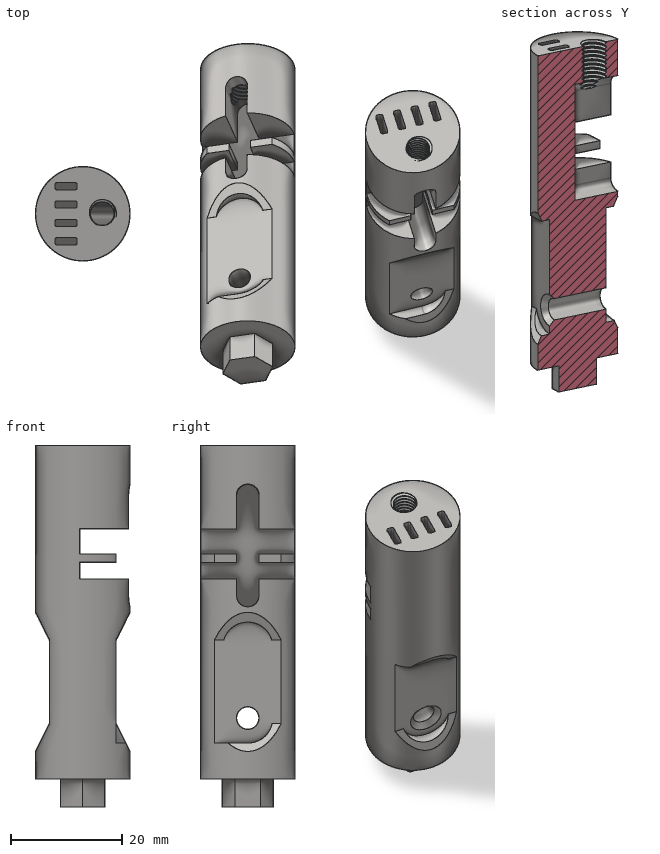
import cadquery as cq
import math

BODY_DIAMETER = 17.0
BODY_LENGTH = 60.0
BODY_RADIUS = BODY_DIAMETER / 2
HEX_ACROSS_FLATS = 8.0
HEX_LENGTH = 5.0
HEX_TURN = 30.0

FLAT_OFFSET = 6.0
FLAT_BOTTOM = 10.0
FLAT_TOP = 25.0
RUNOUT_LENGTH = 5.0

PIVOT_HEIGHT = 11.0
PIVOT_DIAMETER = 4.0
COUNTERSINK_DIAMETER = 6.0
COUNTERSINK_DEPTH = (COUNTERSINK_DIAMETER - PIVOT_DIAMETER) / 2
POCKET_RADIUS = 4.5
POCKET_TOP_CENTER = 23.75
POCKET_MIDDLE = (PIVOT_HEIGHT + POCKET_TOP_CENTER) / 2

CROSS_SLOT_BACK = -0.5
CROSS_SLOT_BOTTOM = 36.0
CROSS_SLOT_TOP = 45.0
TONGUE_BOTTOM = 39.0
TONGUE_TOP = 40.5
TONGUE_END = 6.0

UPRIGHT_SLOT_WIDTH = 4.0
UPRIGHT_SLOT_BOTTOM = 31.0
UPRIGHT_SLOT_TOP = 53.0

THREAD_X = 3.5
THREAD_START = UPRIGHT_SLOT_TOP - UPRIGHT_SLOT_WIDTH / 2
THREAD_MINOR_DIAMETER = 4.23
THREAD_MAJOR_DIAMETER = 5.12
THREAD_PITCH = 0.8
THREAD_ROOT_WIDTH = 0.1
THREAD_FLANK_ANGLE = math.radians(30)
THREAD_OVERLAP = 0.06

TOP_SLOT_COUNT = 4
TOP_SLOT_SPACING = 3.3
TOP_SLOT_X = -3.0
TOP_SLOT_LENGTH = 4.0
TOP_SLOT_WIDTH = 1.3
TOP_SLOT_CORNER_RADIUS = 0.4
TOP_SLOT_DEPTH = 10.0


def block(x_range, y_range, z_range):
    """Rectangular block given by its limits along each axis."""
    sizes = [high - low for low, high in (x_range, y_range, z_range)]
    corner = (x_range[0], y_range[0], z_range[0])
    return cq.Workplane("XY").box(*sizes, centered=False).translate(corner)


def make_body():
    """Round bar with the hexagonal stub."""
    corner_diameter = HEX_ACROSS_FLATS / math.cos(math.pi / 6)
    stub = (
        cq.Workplane("XY")
        .polygon(6, corner_diameter)
        .extrude(-HEX_LENGTH)
        .rotate((0, 0, 0), (0, 0, 1), HEX_TURN)
    )
    return cq.Workplane("XY").circle(BODY_RADIUS).extrude(BODY_LENGTH).union(stub)


def waist_cut():
    """Trapezoidal cutter for the flat and run-outs on the +X side."""
    return (
        cq.Workplane("XZ")
        .moveTo(BODY_RADIUS, FLAT_BOTTOM - RUNOUT_LENGTH)
        .lineTo(FLAT_OFFSET, FLAT_BOTTOM)
        .lineTo(FLAT_OFFSET, FLAT_TOP)
        .lineTo(BODY_RADIUS, FLAT_TOP + RUNOUT_LENGTH)
        .close()
        .extrude(BODY_RADIUS, both=True)
    )


def left_lever_pocket():
    """Round-ended pocket on the -X flat, its upper end open towards +Y."""
    depth = BODY_RADIUS - FLAT_OFFSET
    round_ended = (
        cq.Workplane("YZ", origin=(-BODY_RADIUS, 0, POCKET_MIDDLE))
        .slot2D(POCKET_TOP_CENTER - PIVOT_HEIGHT + 2 * POCKET_RADIUS, 2 * POCKET_RADIUS, 90)
        .extrude(depth)
    )
    side_opening = block(
        (-BODY_RADIUS, -FLAT_OFFSET),
        (0, BODY_RADIUS),
        (POCKET_MIDDLE, POCKET_TOP_CENTER + POCKET_RADIUS),
    )
    return round_ended.union(side_opening)


def right_lever_pocket():
    """The -X pocket turned over onto the +X flat: its lower end is open towards -Y."""
    middle = (0, 0, POCKET_MIDDLE)
    half_turned = left_lever_pocket().rotate((0, 0, 0), (0, 0, 1), 180)
    return half_turned.mirror("XY", middle)


def pivot_hole():
    """Cross hole along X, countersunk at the -X flat."""
    hole = (
        cq.Workplane("YZ", origin=(-BODY_RADIUS, 0, PIVOT_HEIGHT))
        .circle(PIVOT_DIAMETER / 2)
        .extrude(BODY_DIAMETER)
    )
    countersink = (
        cq.Workplane("YZ", origin=(-FLAT_OFFSET, 0, PIVOT_HEIGHT))
        .circle(COUNTERSINK_DIAMETER / 2)
        .workplane(offset=COUNTERSINK_DEPTH)
        .circle(PIVOT_DIAMETER / 2)
        .loft()
    )
    return hole.union(countersink)


def cross_slot():
    """Slot running right through along Y, less the tongue that stays in it."""
    across = (-BODY_RADIUS, BODY_RADIUS)
    opening = block((CROSS_SLOT_BACK, BODY_RADIUS), across, (CROSS_SLOT_BOTTOM, CROSS_SLOT_TOP))
    tongue = block((CROSS_SLOT_BACK, TONGUE_END), across, (TONGUE_BOTTOM, TONGUE_TOP))
    return opening.cut(tongue)


def upright_slot():
    """Vertical slot with round ends, as deep as the cross slot."""
    middle = (UPRIGHT_SLOT_BOTTOM + UPRIGHT_SLOT_TOP) / 2
    return (
        cq.Workplane("YZ", origin=(CROSS_SLOT_BACK, 0, middle))
        .slot2D(UPRIGHT_SLOT_TOP - UPRIGHT_SLOT_BOTTOM, UPRIGHT_SLOT_WIDTH, 90)
        .extrude(BODY_RADIUS - CROSS_SLOT_BACK)
    )


def thread_bore():
    """Plain bore at the thread's minor diameter, ending inside the upright slot."""
    return (
        cq.Workplane("XY", origin=(THREAD_X, 0, THREAD_START))
        .circle(THREAD_MINOR_DIAMETER / 2)
        .extrude(BODY_LENGTH - THREAD_START)
    )


def thread_groove():
    """Helical V groove that starts in the upright slot and runs out through the top face."""
    root_radius = THREAD_MAJOR_DIAMETER / 2
    mouth_radius = THREAD_MINOR_DIAMETER / 2 - THREAD_OVERLAP
    half_root = THREAD_ROOT_WIDTH / 2
    half_mouth = half_root + (root_radius - mouth_radius) * math.tan(THREAD_FLANK_ANGLE)
    length = BODY_LENGTH + THREAD_PITCH - THREAD_START
    path = cq.Workplane(cq.Wire.makeHelix(THREAD_PITCH, length, mouth_radius))
    groove = (
        cq.Workplane("XZ")
        .moveTo(mouth_radius, -half_mouth)
        .lineTo(root_radius, -half_root)
        .lineTo(root_radius, half_root)
        .lineTo(mouth_radius, half_mouth)
        .close()
        .sweep(path, isFrenet=True)
    )
    return groove.translate((THREAD_X, 0, THREAD_START))


def top_slots():
    """Evenly spaced blind slots with rounded corners, in a row along Y."""
    return (
        cq.Workplane("XY", origin=(TOP_SLOT_X, 0, BODY_LENGTH))
        .rarray(1, TOP_SLOT_SPACING, 1, TOP_SLOT_COUNT)
        .rect(TOP_SLOT_LENGTH, TOP_SLOT_WIDTH)
        .extrude(-TOP_SLOT_DEPTH)
        .edges("|Z")
        .fillet(TOP_SLOT_CORNER_RADIUS)
    )


result = make_body()
for cutter in (
    waist_cut(),
    waist_cut().mirror("YZ"),
    left_lever_pocket(),
    right_lever_pocket(),
    pivot_hole(),
    thread_bore(),
    thread_groove(),
    cross_slot(),
    upright_slot(),
    top_slots(),
):
    result = result.cut(cutter)